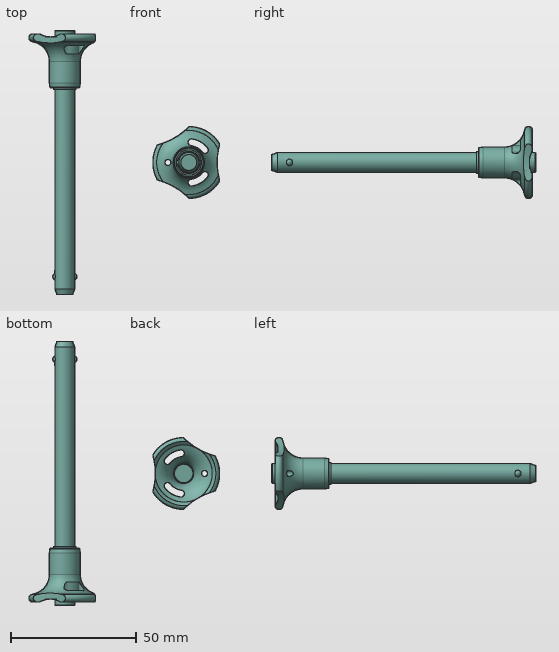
import cadquery as cq
import math

LENGTH = 105.7
BUTTON_END = LENGTH / 2
TIP_END = -LENGTH / 2

SHAFT_RADIUS = 4.0
TIP_RADIUS = 3.2
TAPER_LENGTH = 2.3
BUTTON_CHAMFER = 0.3

BALL_RADIUS = 1.4
BALL_OFFSET = 3.5
BALL_Y = TIP_END + 7.2

BODY_RADIUS = 6.2
NOSE_RADIUS = 6.0
COLLAR_RADIUS = 4.4
COLLAR_Y = 29.2
GROOVE_RADIUS = 5.1
GROOVE_DEPTH = 0.3
NOSE_Y = 29.8
NOSE_TOP_Y = 30.1
NOSE_TAPER_Y = 31.7

FLARE_Y = 40.4
FLARE_RADIUS = 7.9
WALL = 2.3
HANDLE_DIAMETER = 28.8
HANDLE_RADIUS = HANDLE_DIAMETER / 2
RIM_RADIUS = 1.6
RIM_Y = 49.9
FLARE_CENTRE = BODY_RADIUS + FLARE_RADIUS
RIM_CENTRE = HANDLE_RADIUS - RIM_RADIUS
DISH_RADIUS = FLARE_RADIUS + WALL

LOBES = 3
LOBE_PITCH = 360 / LOBES
FIRST_LOBE_ANGLE = 60
SCALLOP_RADIUS = 29.6
SCALLOP_DEPTH_RADIUS = 11.4

SLOT_RADIUS = 8.1
SLOT_WIDTH = 2.6
SLOT_HALF_ANGLE = 22.5
HOLE_OFFSET = 8.3
HOLE_DIAMETER = 2.3


def polar(radius, angle):
    """Point in the XZ plane, with the angle measured from +X toward +Z."""
    return radius * math.cos(math.radians(angle)), radius * math.sin(math.radians(angle))


def section():
    """XZ sketch plane at the tip, facing +Y; sketch y runs along +Z, so sketch x runs along -X."""
    return cq.Workplane(cq.Plane((0, TIP_END, 0), xDir=(-1, 0, 0), normal=(0, 1, 0)))


def revolve(profile):
    return profile.close().revolve(360, (0, 0, 0), (0, 1, 0))


def make_shaft():
    """Shaft with its tapered tip, continuing through the handle as the button."""
    return revolve(
        cq.Workplane("XY")
        .moveTo(0, TIP_END)
        .lineTo(TIP_RADIUS, TIP_END)
        .lineTo(SHAFT_RADIUS, TIP_END + TAPER_LENGTH)
        .lineTo(SHAFT_RADIUS, BUTTON_END - BUTTON_CHAMFER)
        .lineTo(SHAFT_RADIUS - BUTTON_CHAMFER, BUTTON_END)
        .lineTo(0, BUTTON_END)
    )


def arc_point(radius, x):
    """Point at distance x from the pin axis on an arc about the flare centre."""
    return x, FLARE_Y + math.sqrt(radius**2 - (FLARE_CENTRE - x) ** 2)


def make_handle_blank():
    """Collar, groove, body, flare and rim; the dish follows the flare at a constant wall."""
    flare_end = arc_point(FLARE_RADIUS, RIM_CENTRE)
    dish_end = arc_point(DISH_RADIUS, SCALLOP_DEPTH_RADIUS)
    flare_mid = arc_point(FLARE_RADIUS, FLARE_CENTRE - FLARE_RADIUS * math.sqrt(0.5))
    dish_mid = arc_point(DISH_RADIUS, FLARE_CENTRE - DISH_RADIUS * math.sqrt(0.5))
    return revolve(
        cq.Workplane("XY")
        .moveTo(0, COLLAR_Y)
        .lineTo(COLLAR_RADIUS, COLLAR_Y)
        .lineTo(COLLAR_RADIUS, NOSE_Y + GROOVE_DEPTH)
        .lineTo(GROOVE_RADIUS, NOSE_Y + GROOVE_DEPTH)
        .lineTo(GROOVE_RADIUS, NOSE_Y)
        .lineTo(NOSE_RADIUS - (NOSE_TOP_Y - NOSE_Y), NOSE_Y)
        .lineTo(NOSE_RADIUS, NOSE_TOP_Y)
        .lineTo(BODY_RADIUS, NOSE_TAPER_Y)
        .lineTo(BODY_RADIUS, FLARE_Y)
        .threePointArc(flare_mid, flare_end)
        .lineTo(RIM_CENTRE, RIM_Y - RIM_RADIUS)
        .threePointArc((HANDLE_RADIUS, RIM_Y), (RIM_CENTRE, RIM_Y + RIM_RADIUS))
        .lineTo(*dish_end)
        .threePointArc(dish_mid, (FLARE_CENTRE - DISH_RADIUS, FLARE_Y))
        .lineTo(0, FLARE_Y)
    )


def cut_scallops(handle):
    """Hollow the rim midway between each pair of lobes."""
    for index in range(LOBES):
        angle = FIRST_LOBE_ANGLE + LOBE_PITCH * (index + 0.5)
        x, z = polar(SCALLOP_DEPTH_RADIUS + SCALLOP_RADIUS, angle)
        handle = handle.cut(section().center(-x, z).circle(SCALLOP_RADIUS).extrude(LENGTH))
    return handle


def curved_slot(mid_angle):
    inner = SLOT_RADIUS - SLOT_WIDTH / 2
    outer = SLOT_RADIUS + SLOT_WIDTH / 2
    start = mid_angle - SLOT_HALF_ANGLE
    end = mid_angle + SLOT_HALF_ANGLE
    cap_angle = math.degrees(SLOT_WIDTH / 2 / SLOT_RADIUS)
    return (
        section()
        .moveTo(*polar(outer, start))
        .threePointArc(polar(outer, mid_angle), polar(outer, end))
        .threePointArc(polar(SLOT_RADIUS, end + cap_angle), polar(inner, end))
        .threePointArc(polar(inner, mid_angle), polar(inner, start))
        .threePointArc(polar(SLOT_RADIUS, start - cap_angle), polar(outer, start))
        .close()
        .extrude(LENGTH)
    )


def cut_openings(handle):
    """Curved slots through the two +X lobes and a round hole through the -X lobe."""
    for lobe_angle in (FIRST_LOBE_ANGLE, -FIRST_LOBE_ANGLE):
        handle = handle.cut(curved_slot(180 - lobe_angle))
    hole = section().center(HOLE_OFFSET, 0).circle(HOLE_DIAMETER / 2).extrude(LENGTH)
    return handle.cut(hole)


def make_balls():
    centres = [(-BALL_OFFSET, BALL_Y), (BALL_OFFSET, BALL_Y)]
    return cq.Workplane("XY").pushPoints(centres).sphere(BALL_RADIUS)


handle = cut_openings(cut_scallops(make_handle_blank()))
result = handle.union(make_shaft()).union(make_balls())